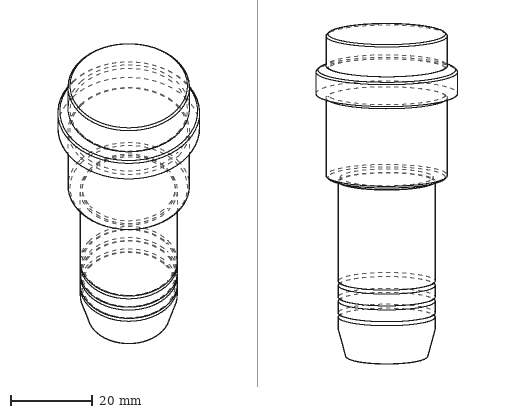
import cadquery as cq
import math

total_height = 81.0
flange_diameter = 35.0
body_diameter = 30.0
shank_diameter = 24.0

flange_top = 72.0
flange_thickness = 6.0
body_bottom = 45.0

edge_chamfer = 0.5
tip_fillet = 0.5
groove_radius = 0.5
relief_height = 1.0
relief_depth = 0.5

nose_height = 7.0
nose_half_angle = 15.0
lowest_ring_height = 10.5
ring_pitch = 4.0
ring_count = 3

flange_bottom = flange_top - flange_thickness
relief_bottom = body_bottom - relief_height
flange_radius = flange_diameter / 2
body_radius = body_diameter / 2
shank_radius = shank_diameter / 2
relief_radius = shank_radius - relief_depth
tip_radius = shank_radius - nose_height * math.tan(math.radians(nose_half_angle))


def add_round_groove(outline, radius, height):
    """Follow a wall of the given radius up through a half-round groove centred at height."""
    return (
        outline.lineTo(radius, height - groove_radius)
        .threePointArc((radius - groove_radius, height), (radius, height + groove_radius))
    )


outline = (
    cq.Workplane("XZ")
    .lineTo(tip_radius, 0)
    .lineTo(shank_radius, nose_height)
)

for index in range(ring_count):
    outline = add_round_groove(outline, shank_radius, lowest_ring_height + index * ring_pitch)
outline = (
    outline.lineTo(shank_radius, relief_bottom)
    .lineTo(relief_radius, relief_bottom)
    .lineTo(relief_radius, body_bottom)
)

outline = (
    outline.lineTo(body_radius - edge_chamfer, body_bottom)
    .lineTo(body_radius, body_bottom + edge_chamfer)
)
outline = add_round_groove(outline, body_radius, flange_bottom - groove_radius)

outline = (
    outline.lineTo(flange_radius, flange_bottom)
    .lineTo(flange_radius, flange_top - edge_chamfer)
    .lineTo(flange_radius - edge_chamfer, flange_top)
)

outline = (
    add_round_groove(outline, body_radius, flange_top + groove_radius)
    .lineTo(body_radius, total_height - edge_chamfer)
    .lineTo(body_radius - edge_chamfer, total_height)
    .lineTo(0, total_height)
    .close()
)

pin = outline.revolve(360, (0, 0, 0), (0, 1, 0))

result = pin.faces("<Z").edges().fillet(tip_fillet)